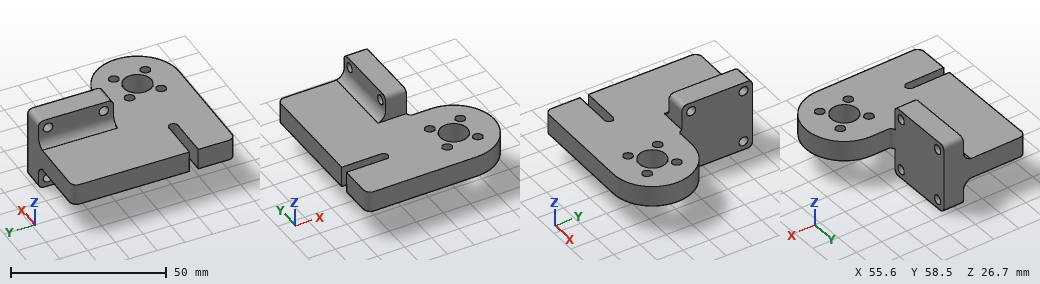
import cadquery as cq
import math

LENGTH_Y = 58.5
LENGTH_X = 55.6
FLANGE_HEIGHT = 26.7
THICKNESS = 7.8

LEG_WIDTH = 30.0
NOSE_RADIUS = LEG_WIDTH / 2
NOSE_X = LENGTH_X - NOSE_RADIUS
NOSE_Y = NOSE_RADIUS
ARM_WIDTH = 32.5
PLATE_CORNER_RADIUS = 2.5
INNER_CORNER_RADIUS = 1.5

BORE_DIAMETER = 10.0
SCREW_DIAMETER = 3.4
NOSE_BOLT_CIRCLE_RADIUS = 8.0
NOSE_SCREW_COUNT = 4
FIRST_SCREW_ANGLE = 45

SLOT_WIDTH = 3.15
SLOT_LENGTH = 16.2

FLANGE_BOTTOM_Y = LEG_WIDTH + INNER_CORNER_RADIUS
FLANGE_WIDTH = LENGTH_Y - FLANGE_BOTTOM_Y
FLANGE_FACE_X = ARM_WIDTH - THICKNESS
FLANGE_CENTER_Y = FLANGE_BOTTOM_Y + FLANGE_WIDTH / 2
FLANGE_CORNER_RADIUS = 2.0
FLANGE_HOLE_SPACING = 20.0

ROOT_RADIUS = 4.0
ROOT_CENTER_HEIGHT = 3.8


def make_plate():
    outline = (
        cq.Workplane("XY", origin=(0, 0, -THICKNESS / 2))
        .lineTo(NOSE_X, 0)
        .threePointArc((LENGTH_X, NOSE_Y), (NOSE_X, LEG_WIDTH))
        .lineTo(ARM_WIDTH, LEG_WIDTH)
        .lineTo(ARM_WIDTH, LENGTH_Y)
        .lineTo(0, LENGTH_Y)
        .close()
    )
    plate = outline.extrude(THICKNESS)
    plate = plate.edges("|Z and <X").fillet(PLATE_CORNER_RADIUS)
    inner_corner = cq.selectors.NearestToPointSelector((ARM_WIDTH, LEG_WIDTH, 0))
    return plate.edges("|Z").edges(inner_corner).fillet(INNER_CORNER_RADIUS)


def make_flange():
    flange = cq.Workplane("XY").box(THICKNESS, FLANGE_WIDTH, FLANGE_HEIGHT)
    flange = flange.edges("|X").fillet(FLANGE_CORNER_RADIUS)
    return flange.translate((FLANGE_FACE_X + THICKNESS / 2, FLANGE_CENTER_Y, 0))


def make_root_blend(side):
    """Concave blend strip on the upper (side = 1) or lower (side = -1) plate face."""
    face_z = side * THICKNESS / 2
    center_x = FLANGE_FACE_X - ROOT_RADIUS
    center_z = face_z + side * ROOT_CENTER_HEIGHT
    start_angle = math.acos(ROOT_CENTER_HEIGHT / ROOT_RADIUS)
    middle_angle = (start_angle + math.pi / 2) / 2

    def arc_point(angle):
        return (
            center_x + ROOT_RADIUS * math.sin(angle),
            center_z - side * ROOT_RADIUS * math.cos(angle),
        )

    return (
        cq.Workplane("XZ", origin=(0, LENGTH_Y, 0))
        .moveTo(*arc_point(start_angle))
        .threePointArc(arc_point(middle_angle), (FLANGE_FACE_X, center_z))
        .lineTo(FLANGE_FACE_X, face_z)
        .close()
        .extrude(FLANGE_WIDTH)
    )


def make_nose_holes():
    base = cq.Workplane("XY", origin=(NOSE_X, NOSE_Y, -THICKNESS / 2))
    bore = base.circle(BORE_DIAMETER / 2).extrude(THICKNESS)
    screws = (
        base.polarArray(NOSE_BOLT_CIRCLE_RADIUS, FIRST_SCREW_ANGLE, 360, NOSE_SCREW_COUNT)
        .circle(SCREW_DIAMETER / 2)
        .extrude(THICKNESS)
    )
    return bore.union(screws)


def make_slot():
    end_radius = SLOT_WIDTH / 2
    end_x = SLOT_LENGTH - end_radius
    return (
        cq.Workplane("XY", origin=(0, NOSE_Y, -THICKNESS / 2))
        .moveTo(0, -end_radius)
        .lineTo(end_x, -end_radius)
        .threePointArc((SLOT_LENGTH, 0), (end_x, end_radius))
        .lineTo(0, end_radius)
        .close()
        .extrude(THICKNESS)
    )


def make_flange_holes():
    return (
        cq.Workplane("YZ", origin=(FLANGE_FACE_X, FLANGE_CENTER_Y, 0))
        .rect(FLANGE_HOLE_SPACING, FLANGE_HOLE_SPACING, forConstruction=True)
        .vertices()
        .circle(SCREW_DIAMETER / 2)
        .extrude(THICKNESS)
    )


body = make_plate().union(make_flange())
for side in (1, -1):
    body = body.union(make_root_blend(side))

result = body.cut(make_nose_holes()).cut(make_slot()).cut(make_flange_holes())